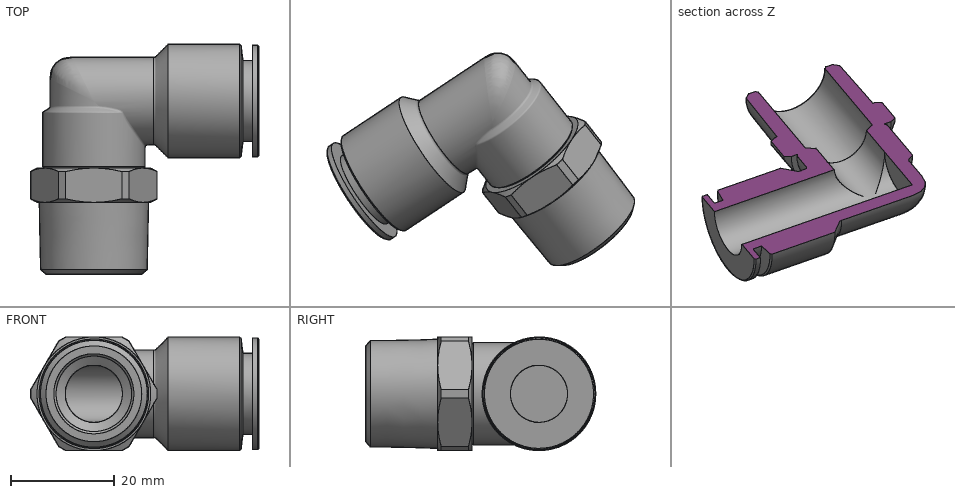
import cadquery as cq
import math


elbow_radius = 8.5
bore_radius = 5.5

cone_start = 11.9
cone_end = 14.37
cone_root_round = 0.35
socket_radius = 11.0
socket_end = 28.5
socket_bevel = 0.3
nose_end = 28.85
collar_radius = 7.88
flange_start = 30.6
flange_radius = 10.8
flange_bevel = 0.25
tube_end = 31.9

barrel_radius = 9.92
barrel_start = 1.3
barrel_shoulder = 2.2
barrel_shoulder_round = 0.4
barrel_root_round = 0.45
barrel_bottom_bevel = 0.3
hex_start = 12.95
hex_end = 19.6
hex_across_flats = 2 * socket_radius
hex_corner_reach = 12.25
hex_bevel_depth = 0.65
thread_top_radius = 10.6
thread_tip_radius = 10.32
overall_length = 44.5
thread_end = overall_length - socket_radius
thread_bevel_length = 0.95
thread_face_radius = 9.25

inlet_radius = 7.3
inlet_bevel = 0.45
inlet_floor = hex_start
inlet_floor_slope = math.radians(30)

selection_margin = 0.05


def turned_about_x(profile):
    """Revolve (x, radius) points about the tube axis."""
    return cq.Workplane("XY").polyline(profile).close().revolve(360, (0, 0, 0), (1, 0, 0))


def turned_about_y(profile):
    """Revolve (radius, distance toward -Y) points about the thread axis."""
    points = [(radius, -distance) for radius, distance in profile]
    return cq.Workplane("XY").polyline(points).close().revolve(360, (0, 0, 0), (0, 1, 0))


def upright_prism(outline):
    """Prism on an XY outline, tall enough to span the elbow."""
    return cq.Workplane("XY").polyline(outline).close().extrude(2 * elbow_radius, both=True)


def elbow_corner():
    """Rounded outer corner: the ellipsoid that meets both arms tangentially."""
    ellipsoid_long = math.sqrt(1.5)
    ellipsoid_short = math.sqrt(0.5)
    stretch = cq.Matrix([
        [ellipsoid_long, 0, 0, 0],
        [0, ellipsoid_short, 0, 0],
        [0, 0, 1, 0],
    ])
    ball = cq.Workplane("XY").sphere(elbow_radius).val().transformGeometry(stretch)
    ball = ball.rotate(cq.Vector(0, 0, 0), cq.Vector(0, 0, 1), 135)
    r = elbow_radius
    wedge = upright_prism([(0, 0), (-r / 2, r), (-2 * r, 2 * r), (-r, r / 2)])
    return wedge.intersect(cq.Workplane(ball))


def elbow_arms():
    """Two cylinders, each ending where the rounded corner begins."""
    r = elbow_radius
    x_arm = cq.Workplane("YZ").workplane(offset=-r).circle(r).extrude(r + cone_start)
    x_keep = upright_prism([(0, 0), (-r / 2, r), (cone_start, r), (cone_start, -r), (0, -r)])
    y_arm = cq.Workplane("XZ").workplane(offset=-r).circle(r).extrude(r + hex_start)
    y_keep = upright_prism([(0, 0), (-r, r / 2), (-r, -hex_start), (r, -hex_start), (r, 0)])
    return x_arm.intersect(x_keep).union(y_arm.intersect(y_keep))


def tube_socket():
    """Socket, collar and release flange at the tube end, with a rounded cone root."""
    stub_start = cone_start - cone_root_round
    body = turned_about_x([
        (stub_start, 0),
        (stub_start, elbow_radius),
        (cone_start, elbow_radius),
        (cone_end, socket_radius),
        (socket_end - socket_bevel, socket_radius),
        (socket_end, socket_radius - socket_bevel),
        (nose_end, collar_radius),
        (flange_start, collar_radius),
        (flange_start, flange_radius),
        (tube_end - flange_bevel, flange_radius),
        (tube_end, flange_radius - flange_bevel),
        (tube_end, 0),
    ])
    cone_root = cq.selectors.BoxSelector(
        (cone_start - selection_margin, -elbow_radius, -elbow_radius),
        (cone_start + selection_margin, elbow_radius, elbow_radius),
    )
    return body.edges(cone_root).fillet(cone_root_round)


def barrel():
    """Swivel barrel with a sloping, rounded shoulder toward the elbow."""
    body = turned_about_y([
        (0, barrel_start),
        (elbow_radius, barrel_start),
        (barrel_radius, barrel_shoulder),
        (barrel_radius, hex_start - barrel_bottom_bevel),
        (barrel_radius - barrel_bottom_bevel, hex_start),
        (0, hex_start),
    ])
    shoulder_edge = cq.selectors.BoxSelector(
        (-barrel_radius, -barrel_shoulder - selection_margin, -barrel_radius),
        (barrel_radius, -barrel_shoulder + selection_margin, barrel_radius),
    )
    return body.edges(shoulder_edge).fillet(barrel_shoulder_round)


def hexagon():
    """Hexagon with flattened corners, bevelled at both ends."""
    blank = cq.Workplane("XZ").workplane(offset=hex_start)
    height = hex_end - hex_start
    corner_diameter = hex_across_flats / math.cos(math.pi / 6)
    corner_cut_diameter = 2 * hex_corner_reach / math.cos(math.pi / 6)
    body = blank.polygon(6, corner_diameter).extrude(height)
    corner_cutter = blank.transformed(rotate=(0, 0, 30)).polygon(6, corner_cut_diameter).extrude(height)
    outer_reach = corner_diameter / 2
    bevel_cutter = turned_about_y([
        (0, hex_start),
        (socket_radius, hex_start),
        (hex_corner_reach, hex_start + hex_bevel_depth),
        (outer_reach, hex_start + hex_bevel_depth),
        (outer_reach, hex_end - hex_bevel_depth),
        (hex_corner_reach, hex_end - hex_bevel_depth),
        (socket_radius, hex_end),
        (0, hex_end),
    ])
    return body.intersect(corner_cutter).intersect(bevel_cutter)


def threaded_end():
    """Tapered thread body with a bevelled tip."""
    return turned_about_y([
        (0, hex_end),
        (thread_top_radius, hex_end),
        (thread_tip_radius, thread_end - thread_bevel_length),
        (thread_face_radius, thread_end),
        (0, thread_end),
    ])


def passage():
    """Bore through both arms, widened with a conical floor at the thread."""
    bore_start = cq.Workplane("YZ").workplane(offset=-bore_radius)
    tube_bore = bore_start.circle(bore_radius).extrude(bore_radius + tube_end)
    floor_depth = (inlet_radius - bore_radius) * math.tan(inlet_floor_slope)
    thread_bore = turned_about_y([
        (0, 0),
        (bore_radius, 0),
        (bore_radius, inlet_floor),
        (inlet_radius, inlet_floor + floor_depth),
        (inlet_radius, thread_end - inlet_bevel),
        (inlet_radius + inlet_bevel, thread_end),
        (0, thread_end),
    ])
    return thread_bore.union(tube_bore)


def elbow_with_barrel():
    """Elbow joined to the barrel, with the joint line between them rounded."""
    body = elbow_arms().union(elbow_corner()).union(barrel())
    tolerance = 0.005

    def on_joint(edge):
        middle = edge.positionAt(0.5)
        on_x_arm = abs(math.hypot(middle.y, middle.z) - elbow_radius) < tolerance
        on_y_arm = abs(math.hypot(middle.x, middle.z) - elbow_radius) < tolerance
        return middle.y < tolerance - barrel_start and (on_x_arm or on_y_arm)

    return body.edges().filter(on_joint).fillet(barrel_root_round)


result = elbow_with_barrel().union(tube_socket())
result = result.union(hexagon()).union(threaded_end())
result = result.cut(passage())